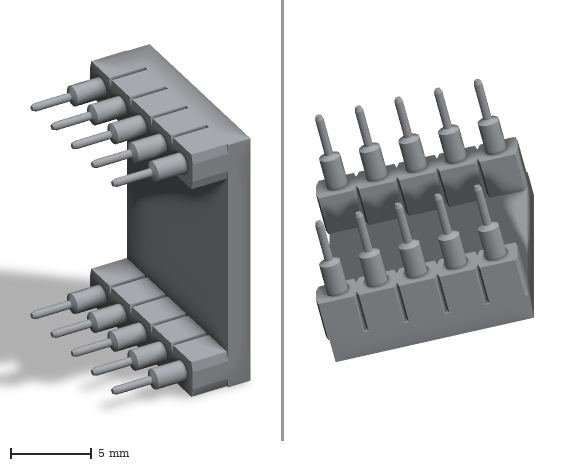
import cadquery as cq

pins_per_row = 5
height = 17.78
pitch = height / 7
strip_length = 12.93
plate_thickness = 1.6
notch_half_width = 0.16

collar_length = 2.05
shoulder_length = 0.2
lead_length = 2.45
tip_length = 0.25
collar_radius = 0.68
lead_radius = 0.27
tip_radius = 0.18

plate_width = pins_per_row * pitch
row_spacing = height - pitch
segment_length = strip_length / pins_per_row
strip_depth = pitch
notch_depth = pitch / 4
right_edge = strip_length / 2
strip_front = -strip_depth
row_heights = (-row_spacing / 2, row_spacing / 2)


def make_plate():
    """Flat carrier plate, flush with the right end of the strips."""
    plate = cq.Workplane("XY").box(plate_width, plate_thickness, height)
    return plate.translate((right_edge - plate_width / 2, plate_thickness / 2, 0))


def make_segment():
    """One bevelled housing segment, centred on X and Z, with its back at Y = 0."""
    half_length = segment_length / 2
    half_height = pitch / 2
    flat_x = half_length - notch_half_width
    side_z = half_height - notch_depth
    outline = [
        (-half_length, -side_z),
        (-flat_x, -half_height),
        (flat_x, -half_height),
        (half_length, -side_z),
        (half_length, side_z),
        (flat_x, half_height),
        (-flat_x, half_height),
        (-half_length, side_z),
    ]
    return cq.Workplane("XZ").polyline(outline).close().extrude(strip_depth)


def make_pin():
    """Turned pin on the Y axis, pointing to -Y from the strip face."""
    shoulder_y = strip_front - collar_length
    lead_y = shoulder_y - shoulder_length
    tip_y = lead_y - lead_length
    end_y = tip_y - tip_length
    profile = [
        (0, strip_front),
        (collar_radius, strip_front),
        (collar_radius, shoulder_y),
        (lead_radius, lead_y),
        (lead_radius, tip_y),
        (tip_radius, end_y),
        (0, end_y),
    ]
    return cq.Workplane("XY").polyline(profile).close().revolve(360, (0, 0), (0, 1))


segment = make_segment()
pin = make_pin()
result = make_plate()
for row_z in row_heights:
    for index in range(pins_per_row):
        steps_from_middle = index - (pins_per_row - 1) / 2
        result = result.union(segment.translate((steps_from_middle * segment_length, 0, row_z)))
        result = result.union(pin.translate((steps_from_middle * pitch, 0, row_z)))